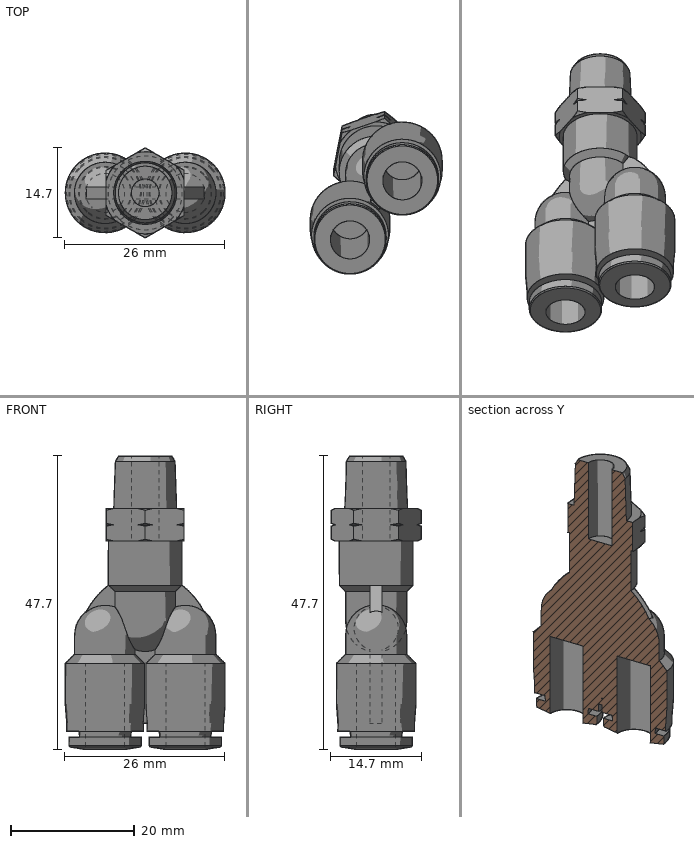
import cadquery as cq
import math

total_height = 47.7
hex_top = 39.2
hex_bottom = 33.85
collar_bottom = 26.7
stem_dome_height = 20.85
branch_dome_height = 18.55
shoulder_top = 15.5
taper_top = 7.35
taper_bottom = 4.3
body_bottom = 2.95
neck_step = 2.3
flange_top = 2.05
flange_edge = 0.65
flange_rim = 0.45

thread_top_radius = 4.85
thread_base_radius = 10.25 / 2
thread_chamfer_radial = 0.52
thread_chamfer_height = 0.9
bore_diameter = 4.5
hex_across_corners = 14.65
hex_chamfer_radial = 0.65
hex_chamfer_height = 0.35
groove_depth = 0.55
groove_half_height = 0.25

collar_radius = 12.0 / 2
tube_radius = 9.95 / 2
branch_spacing = 13.0
branch_radius = 12.97 / 2
shoulder_bottom = shoulder_top - (branch_radius - tube_radius)
ring_radius = 12.5 / 2
neck_radius = 8.35 / 2
neck_upper_radius = 8.6 / 2
flange_radius = 11.8 / 2
flange_rim_radius = 5.72
port_radius = 6.35 / 2

web_thickness = 1.95
web_foot_half_width = 0.95
web_arc_middle = (7.85, 24.95)
web_arc_end = (9.65, 22.3)


def turned(profile):
    """Revolve an XZ half-profile about the Z axis."""
    return profile.close().revolve(360, (0, 0, 0), (0, 1, 0))


def make_thread():
    return turned(
        cq.Workplane("XZ")
        .moveTo(0, hex_bottom)
        .lineTo(thread_base_radius, hex_bottom)
        .lineTo(thread_base_radius, hex_top)
        .lineTo(thread_top_radius, total_height - thread_chamfer_height)
        .lineTo(thread_top_radius - thread_chamfer_radial, total_height)
        .lineTo(0, total_height)
    )


def make_hex():
    """Hexagon with corners on Y, chamfered at both ends and notched at mid-height."""
    height = hex_top - hex_bottom
    middle = (hex_top + hex_bottom) / 2
    corner_radius = hex_across_corners / 2
    chamfered_radius = corner_radius - hex_chamfer_radial
    prism = (
        cq.Workplane("XY", origin=(0, 0, hex_bottom))
        .polygon(6, hex_across_corners)
        .extrude(height)
        .rotate((0, 0, 0), (0, 0, 1), 30)
    )
    envelope = turned(
        cq.Workplane("XZ")
        .moveTo(0, hex_bottom)
        .lineTo(chamfered_radius, hex_bottom)
        .lineTo(corner_radius, hex_bottom + hex_chamfer_height)
        .lineTo(corner_radius, middle - groove_half_height)
        .lineTo(corner_radius - groove_depth, middle)
        .lineTo(corner_radius, middle + groove_half_height)
        .lineTo(corner_radius, hex_top - hex_chamfer_height)
        .lineTo(chamfered_radius, hex_top)
        .lineTo(0, hex_top)
    )
    return prism.intersect(envelope)


def make_stem():
    """Collar tapering at 45 degrees into a tube with a rounded lower end."""
    diagonal = tube_radius * math.sqrt(0.5)
    return turned(
        cq.Workplane("XZ")
        .moveTo(0, hex_bottom)
        .lineTo(collar_radius, hex_bottom)
        .lineTo(collar_radius, collar_bottom)
        .lineTo(tube_radius, collar_bottom - (collar_radius - tube_radius))
        .lineTo(tube_radius, stem_dome_height)
        .threePointArc((diagonal, stem_dome_height - diagonal), (0, stem_dome_height - tube_radius))
    )


def make_branch(center_x):
    """Domed branch with a push-in release collar and a blind tube port at its lower end."""
    diagonal = tube_radius * math.sqrt(0.5)
    branch = turned(
        cq.Workplane("XZ")
        .moveTo(0, branch_dome_height + tube_radius)
        .threePointArc((diagonal, branch_dome_height + diagonal), (tube_radius, branch_dome_height))
        .lineTo(tube_radius, shoulder_top)
        .lineTo(branch_radius, shoulder_bottom)
        .lineTo(branch_radius, taper_top)
        .lineTo(ring_radius, taper_bottom)
        .lineTo(ring_radius, body_bottom)
        .lineTo(neck_upper_radius, body_bottom)
        .lineTo(neck_radius, neck_step)
        .lineTo(neck_radius, flange_top)
        .lineTo(flange_radius, flange_top)
        .lineTo(flange_radius, flange_edge)
        .lineTo(flange_rim_radius, flange_rim)
        .lineTo(port_radius, 0)
        .lineTo(port_radius, shoulder_bottom)
        .lineTo(0, shoulder_bottom)
    )
    return branch.translate((center_x, 0, 0))


def make_web():
    """Flat web with convex outer edges, reaching down between the branches."""
    branch_x = branch_spacing / 2
    middle_x, middle_z = web_arc_middle
    end_x, end_z = web_arc_end
    return (
        cq.Workplane("XZ")
        .moveTo(-collar_radius, collar_bottom)
        .lineTo(collar_radius, collar_bottom)
        .threePointArc(web_arc_middle, web_arc_end)
        .lineTo(branch_x, shoulder_bottom)
        .lineTo(web_foot_half_width, shoulder_bottom)
        .lineTo(web_foot_half_width, taper_bottom)
        .lineTo(-web_foot_half_width, taper_bottom)
        .lineTo(-web_foot_half_width, shoulder_bottom)
        .lineTo(-branch_x, shoulder_bottom)
        .lineTo(-end_x, end_z)
        .threePointArc((-middle_x, middle_z), (-collar_radius, collar_bottom))
        .close()
        .extrude(web_thickness / 2, both=True)
    )


bore = (
    cq.Workplane("XY", origin=(0, 0, hex_bottom))
    .circle(bore_diameter / 2)
    .extrude(total_height - hex_bottom)
)

result = make_stem().union(make_web())
for side in (-1, 1):
    result = result.union(make_branch(side * branch_spacing / 2))
result = result.union(make_hex()).union(make_thread()).cut(bore)